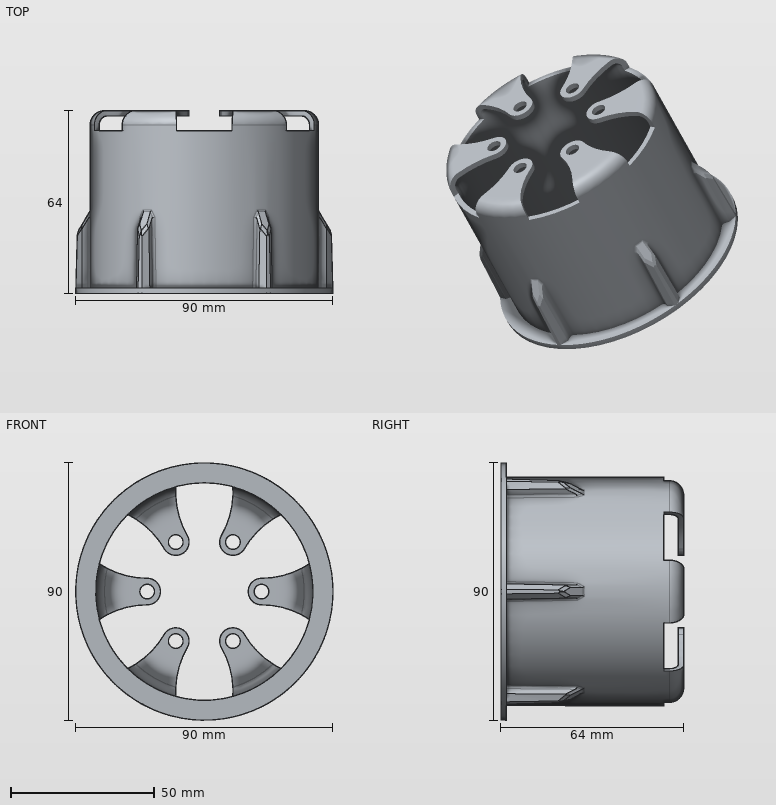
import cadquery as cq
import math

flange_radius = 45.0
flange_thickness = 2.0
height = 64.0
tube_radius = 40.0
wall = 2.0
inner_radius = tube_radius - wall
bend_radius = 5.0
rim_height = 57.0

spoke_count = 6
hole_circle_radius = 20.0
hole_radius = 2.5
tab_end_radius = 4.7
tab_flank_radius = 30.0
tab_flank_reach = 20.7

rib_base_half_width = 2.7
rib_tip_half_width = 2.2
rib_ridge_base_half_width = 0.8
rib_ridge_tip_half_width = 0.45
rib_shoulder_radius = 42.75
rib_ridge_tip_radius = 44.2
rib_root_radius = tube_radius - wall / 2
rib_top = 28.9
rib_slope_start = 21.8
rib_edge_chamfer = 0.8
rib_root_fillet = 0.9


def around_axis(body):
    """Return copies of a body placed at +X, evenly spaced about the Y axis."""
    step = 360 / spoke_count
    return [body.rotate((0, 0, 0), (0, 1, 0), i * step) for i in range(spoke_count)]


def make_cup():
    """Revolve a cup with a full floor and a rounded edge; the floor is later cut into tabs."""
    inner_bend = bend_radius - wall
    floor = height - wall
    return (
        cq.Workplane("ZY")
        .moveTo(inner_radius, 0)
        .lineTo(tube_radius, 0)
        .lineTo(tube_radius, height - bend_radius)
        .radiusArc((tube_radius - bend_radius, height), -bend_radius)
        .lineTo(0, height)
        .lineTo(0, floor)
        .lineTo(inner_radius - inner_bend, floor)
        .radiusArc((inner_radius, floor - inner_bend), inner_bend)
        .close()
        .revolve(360, (0, 0, 0), (0, 1, 0))
    )


def make_tab_prism():
    """Extrude the outline of one tab, with its hole, over the full height."""
    flank_angle = math.asin(tab_flank_reach / tab_flank_radius)
    outer_x = hole_circle_radius + tab_flank_reach
    outer_z = tab_end_radius + tab_flank_radius * (1 - math.cos(flank_angle))
    outline = (
        cq.Workplane("XZ")
        .moveTo(outer_x, -outer_z)
        .radiusArc((hole_circle_radius, -tab_end_radius), -tab_flank_radius)
        .threePointArc(
            (hole_circle_radius - tab_end_radius, 0),
            (hole_circle_radius, tab_end_radius),
        )
        .radiusArc((outer_x, outer_z), -tab_flank_radius)
        .close()
    )
    prism = outline.extrude(-height)
    hole = cq.Workplane("XZ").center(hole_circle_radius, 0).circle(hole_radius).extrude(-height)
    return prism.cut(hole)


def rib_section(half_width, ridge_half_width, ridge_radius):
    """Return the cross-section: upright sides that lean in towards a narrow ridge."""
    return [
        (rib_root_radius, -half_width),
        (rib_shoulder_radius, -half_width),
        (ridge_radius, -ridge_half_width),
        (ridge_radius, ridge_half_width),
        (rib_shoulder_radius, half_width),
        (rib_root_radius, half_width),
    ]


def make_rib():
    """Loft a tapering bar, slope its far end down to the wall and chamfer that end."""
    end_slope = (rib_top - rib_slope_start) / (rib_ridge_tip_radius - tube_radius)
    root_top = rib_top + end_slope * (tube_radius - rib_root_radius)
    base = rib_section(rib_base_half_width, rib_ridge_base_half_width, flange_radius)
    tip = rib_section(rib_tip_half_width, rib_ridge_tip_half_width, rib_ridge_tip_radius)
    bar = (
        cq.Workplane("XZ")
        .polyline(base).close()
        .workplane(offset=-root_top)
        .polyline(tip).close()
        .loft(ruled=True)
    )
    side_outline = [
        (rib_root_radius, 0),
        (flange_radius, 0),
        (flange_radius, root_top - end_slope * (flange_radius - rib_root_radius)),
        (rib_root_radius, root_top),
    ]
    side = (
        cq.Workplane("XY")
        .polyline(side_outline).close()
        .extrude(rib_base_half_width, both=True)
    )
    rib = bar.intersect(side)
    end_direction = cq.Vector(end_slope, 1, 0)
    end_face = rib.faces(cq.selectors.DirectionMinMaxSelector(end_direction))
    end_edges = end_face.edges("not(<X)")
    return end_edges.chamfer(rib_edge_chamfer)


def fillet_rib_roots(body):
    """Blend the ribs into the wall along every rib edge lying on the tube surface."""
    tolerance = 0.045

    def is_root(edge):
        start, middle, end = edge.positions([0, 0.5, 1])
        on_tube = all(
            abs(math.hypot(point.x, point.z) - tube_radius) < tolerance
            and point.y < rib_top + rib_root_fillet
            for point in (start, middle, end)
        )
        return on_tube and middle.y > tolerance

    roots = [edge for edge in body.edges().vals() if is_root(edge)]
    return body.newObject(roots).fillet(rib_root_fillet)


def make_flange():
    return (
        cq.Workplane("XZ")
        .circle(flange_radius)
        .circle(inner_radius)
        .extrude(-flange_thickness)
    )


kept_region = cq.Workplane("XZ").circle(flange_radius).extrude(-rim_height)
for tab_prism in around_axis(make_tab_prism()):
    kept_region = kept_region.union(tab_prism)
body = make_cup().intersect(kept_region)

for rib in around_axis(make_rib()):
    body = body.union(rib)
body = fillet_rib_roots(body)

result = body.union(make_flange())